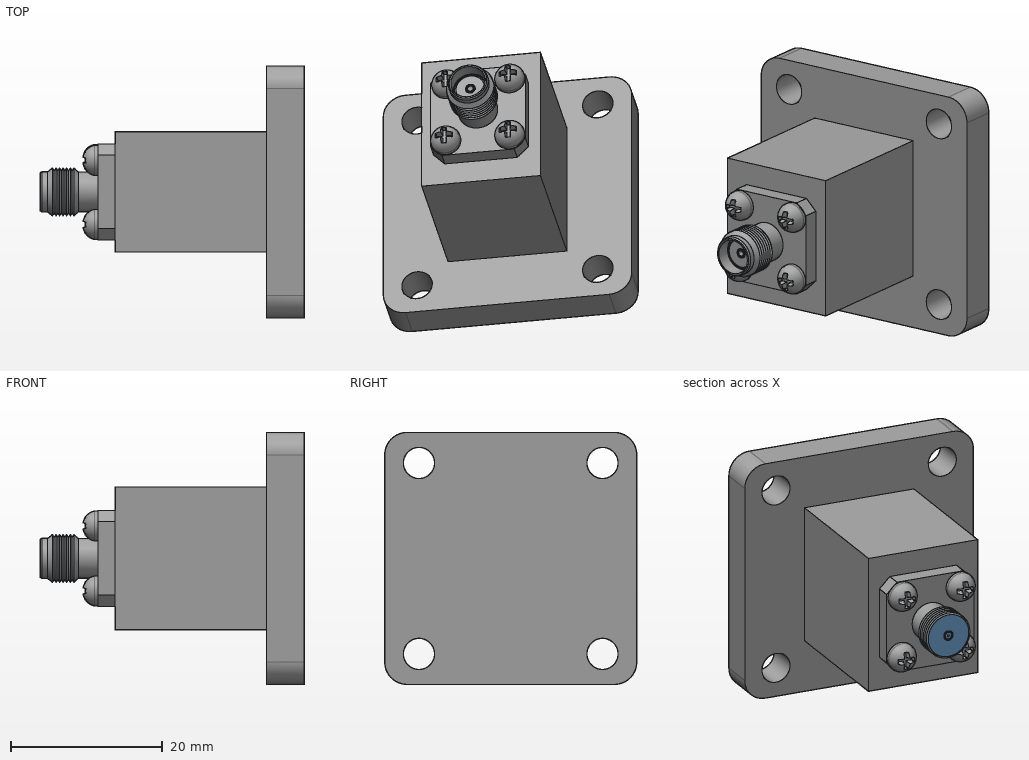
import cadquery as cq
import math

total_length = 34.9

flange_size = 33.3
flange_thickness = 5.03
flange_corner_radius = 3.0
flange_hole_diameter = 4.1
flange_hole_spacing_y = 24.22
flange_hole_spacing_z = 25.2

body_length = 19.95
body_width = 15.9
body_height = 18.88

plate_size = 12.7
plate_thickness = 2.25
plate_chamfer = 1.5

barrel_diameter = 5.27
nose_diameter = 5.35
nose_chamfer = 0.25
nose_face_diameter = 5.03
nose_length = 1.0
thread_diameter = 6.35
thread_root_diameter = 5.6
thread_start = 1.65
thread_length = 2.83
thread_crests = 7
thread_runout = 0.6

bore_diameter = 4.6
bore_depth = 2.0
insulator_base_diameter = 4.3
insulator_face_diameter = 3.85
insulator_height = 0.17
pin_clearance_diameter = 1.3
pin_diameter = 1.0
pin_gap_depth = 0.35
socket_diameter = 0.77
socket_cone_angle = 118.0

screw_spacing = 8.6
screw_inset = 0.15
head_diameter = 3.98
head_rim_height = 0.5
head_dome_height = 1.6
recess_length = 2.05
recess_width = 0.4
recess_depth = 0.95
recess_draft = 14.0

flange_start = total_length - flange_thickness
body_start = flange_start - body_length
plate_start = body_start - plate_thickness


def yz_plane(x):
    """Workplane across the axis at x; local x is Y, local y is Z, normal is +X."""
    return cq.Workplane("YZ", origin=(x, 0, 0))


def revolve_about_x(profile):
    """Revolve a closed (x, radius) profile around the X axis."""
    return cq.Workplane("XY").polyline(profile).close().revolve(360, (0, 0, 0), (1, 0, 0))


def make_flange():
    flange = yz_plane(flange_start).rect(flange_size, flange_size).extrude(flange_thickness)
    flange = flange.edges("|X").fillet(flange_corner_radius)
    holes = (
        yz_plane(flange_start)
        .rect(flange_hole_spacing_y, flange_hole_spacing_z, forConstruction=True)
        .vertices()
        .circle(flange_hole_diameter / 2)
        .extrude(flange_thickness)
    )
    return flange.cut(holes)


def make_body():
    return yz_plane(body_start).rect(body_width, body_height).extrude(body_length)


def make_plate():
    plate = yz_plane(plate_start).rect(plate_size, plate_size).extrude(plate_thickness)
    return plate.edges("|X").chamfer(plate_chamfer)


def make_barrel():
    """Barrel with a chamfered nose and a ring of V grooves for the thread."""
    nose_radius = nose_diameter / 2
    barrel_radius = barrel_diameter / 2
    thread_pitch = thread_length / (thread_crests - 1)
    thread_end = thread_start + thread_length
    profile = [
        (0, 0),
        (0, nose_face_diameter / 2),
        (nose_chamfer, nose_radius),
        (nose_length, nose_radius),
    ]
    for crest in range(thread_crests):
        crest_x = thread_start + crest * thread_pitch
        if crest > 0:
            profile.append((crest_x - thread_pitch / 2, thread_root_diameter / 2))
        profile.append((crest_x, thread_diameter / 2))
    profile += [
        (thread_end + thread_runout, barrel_radius),
        (plate_start, barrel_radius),
        (plate_start, 0),
    ]
    return revolve_about_x(profile)


def make_bore():
    """Cavity of the bore: leaves a bevelled insulator on its floor, with a gap around the contact pin."""
    pin_face_x = bore_depth - insulator_height
    gap_end_x = pin_face_x + pin_gap_depth
    socket_radius = socket_diameter / 2
    socket_depth = socket_radius / math.tan(math.radians(socket_cone_angle / 2))
    return revolve_about_x([
        (0, 0),
        (0, bore_diameter / 2),
        (bore_depth, bore_diameter / 2),
        (bore_depth, insulator_base_diameter / 2),
        (pin_face_x, insulator_face_diameter / 2),
        (pin_face_x, pin_clearance_diameter / 2),
        (gap_end_x, pin_clearance_diameter / 2),
        (gap_end_x, pin_diameter / 2),
        (pin_face_x, pin_diameter / 2),
        (pin_face_x, socket_radius),
        (pin_face_x + socket_depth, 0),
    ])


def make_screw_head():
    """Domed head on the X axis, seated on the plate face, with a drafted cross recess."""
    head_radius = head_diameter / 2
    dome_start = plate_start - head_rim_height
    head_top = dome_start - head_dome_height
    dome_radius = (head_radius**2 + head_dome_height**2) / (2 * head_dome_height)
    dome_centre = head_top + dome_radius
    half_angle = math.asin(head_radius / dome_radius) / 2
    arc_middle = (
        dome_centre - dome_radius * math.cos(half_angle),
        dome_radius * math.sin(half_angle),
    )
    head = (
        cq.Workplane("XY")
        .moveTo(plate_start, 0)
        .lineTo(plate_start, head_radius)
        .lineTo(dome_start, head_radius)
        .threePointArc(arc_middle, (head_top, 0))
        .close()
        .revolve(360, (0, 0, 0), (1, 0, 0))
    )
    recess_floor = yz_plane(head_top + recess_depth)
    for arm_y, arm_z in [(recess_length, recess_width), (recess_width, recess_length)]:
        arm = recess_floor.rect(arm_y, arm_z).extrude(-recess_depth, taper=-recess_draft)
        head = head.cut(arm)
    return head


def screw_positions():
    offset = screw_spacing / 2
    return [
        (-offset, -offset),
        (-offset, offset),
        (offset, -offset),
        (offset - screw_inset, offset),
    ]


result = make_flange().union(make_body()).union(make_plate())
result = result.union(make_barrel()).cut(make_bore())

screw_head = make_screw_head()
for screw_y, screw_z in screw_positions():
    result = result.union(screw_head.translate((0, screw_y, screw_z)))